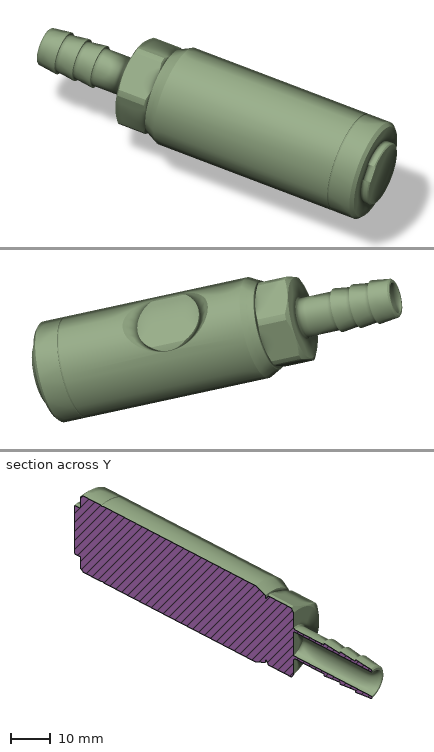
import cadquery as cq
import math

LENGTH = 95.1
NUT_START = 25.0
SLEEVE_START = 33.95
CONE_END = 37.1
GROOVE_START = 86.0
SLEEVE_END = 93.1

TAIL_RADIUS = 10.0 / 2
BORE_RADIUS = 8.0 / 2
BORE_DEPTH = NUT_START
BARB_RADIUS = 11.2 / 2
BARB_COUNT = 3
BARB_PITCH = 5.0
BARB_LAND = 0.2
TIP_CHAMFER = 0.4
ROOT_FLARE = 0.4

NUT_FLATS = 21.1
NUT_CORNER_RADIUS = 23.5 / 2
NUT_FACE_RADIUS = 20.7 / 2
NUT_CHAMFER_LENGTH = 0.8

SLEEVE_RADIUS = 26.0 / 2
CONE_START_RADIUS = 11.4
GROOVE_WIDTH = 0.4
GROOVE_DEPTH = 0.2
END_CHAMFER = 0.9

BUTTON_X = 57.2
BUTTON_RADIUS = 16.6 / 2
BUTTON_SINK = 2.0
RECESS_RADIUS = 11.5
RECESS_DEPTH = RECESS_RADIUS - BUTTON_RADIUS

COLLAR_RADIUS = 16.5 / 2
COLLAR_CHAMFER = 0.3
NOTCH_WIDTH = 4.2
NOTCH_FLOOR_RADIUS = 7.5
NOTCH_ANGLE = 45.0


def revolve_about_x(points):
    """Revolve an (x, radius) profile, closed along the axis, about X."""
    outline = [(points[0][0], 0), *points, (points[-1][0], 0)]
    return cq.Workplane("XY").polyline(outline).close().revolve(360, (0, 0, 0), (1, 0, 0))


def make_tail():
    profile = [(0, TAIL_RADIUS - TIP_CHAMFER), (TIP_CHAMFER, TAIL_RADIUS)]
    for barb in range(BARB_COUNT):
        barb_end = TIP_CHAMFER + (barb + 1) * BARB_PITCH
        profile += [
            (barb_end - BARB_LAND, BARB_RADIUS),
            (barb_end, BARB_RADIUS),
            (barb_end, TAIL_RADIUS),
        ]
    profile += [
        (NUT_START - ROOT_FLARE, TAIL_RADIUS),
        (NUT_START, TAIL_RADIUS + ROOT_FLARE),
    ]
    return revolve_about_x(profile)


def make_nut():
    across_corners = NUT_FLATS / math.cos(math.radians(30))
    hexagon = (
        cq.Workplane("YZ", origin=(NUT_START, 0, 0))
        .polygon(6, across_corners)
        .extrude(SLEEVE_START - NUT_START)
        .rotate((0, 0, 0), (1, 0, 0), 90)
    )
    turned_limit = revolve_about_x([
        (NUT_START, NUT_FACE_RADIUS),
        (NUT_START + NUT_CHAMFER_LENGTH, NUT_CORNER_RADIUS),
        (SLEEVE_START - NUT_CHAMFER_LENGTH, NUT_CORNER_RADIUS),
        (SLEEVE_START, NUT_FACE_RADIUS),
    ])
    return hexagon.intersect(turned_limit)


def make_sleeve():
    groove_end = GROOVE_START + GROOVE_WIDTH
    groove_radius = SLEEVE_RADIUS - GROOVE_DEPTH
    return revolve_about_x([
        (SLEEVE_START, CONE_START_RADIUS),
        (CONE_END, SLEEVE_RADIUS),
        (GROOVE_START, SLEEVE_RADIUS),
        (GROOVE_START, groove_radius),
        (groove_end, groove_radius),
        (groove_end, SLEEVE_RADIUS),
        (SLEEVE_END - END_CHAMFER, SLEEVE_RADIUS),
        (SLEEVE_END, SLEEVE_RADIUS - END_CHAMFER),
    ])


def make_button_recess():
    """Material removed around and above the flat button."""
    floor_y = SLEEVE_RADIUS - RECESS_DEPTH
    button_y = SLEEVE_RADIUS - BUTTON_SINK
    half_section = [
        (BUTTON_X, button_y),
        (BUTTON_X + BUTTON_RADIUS, button_y),
        (BUTTON_X + BUTTON_RADIUS, floor_y),
        (BUTTON_X + RECESS_RADIUS, SLEEVE_RADIUS),
        (BUTTON_X, SLEEVE_RADIUS),
    ]
    return (
        cq.Workplane("XY")
        .polyline(half_section)
        .close()
        .revolve(360, (BUTTON_X, 0, 0), (BUTTON_X, 1, 0))
    )


def make_collar():
    collar = revolve_about_x([
        (SLEEVE_END, COLLAR_RADIUS),
        (LENGTH - COLLAR_CHAMFER, COLLAR_RADIUS),
        (LENGTH, COLLAR_RADIUS - COLLAR_CHAMFER),
    ])
    notch = (
        cq.Workplane("XY", origin=(SLEEVE_END, 0, NOTCH_FLOOR_RADIUS))
        .box(LENGTH - SLEEVE_END, NOTCH_WIDTH, COLLAR_RADIUS, centered=(False, True, False))
        .rotate((0, 0, 0), (1, 0, 0), NOTCH_ANGLE)
    )
    return collar.cut(notch)


bore = cq.Workplane("YZ").circle(BORE_RADIUS).extrude(BORE_DEPTH)
sleeve = make_sleeve().cut(make_button_recess())
result = make_tail().union(make_nut()).union(sleeve).union(make_collar()).cut(bore)